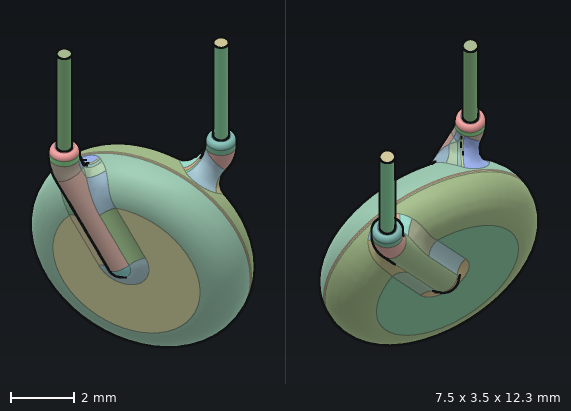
import cadquery as cq
import math

disc_diameter = 7.5
disc_thickness = 2.5
rim_round = 1.2

overall_height = 12.25
wire_diameter = 0.5
sleeve_diameter = 1.0
lead_x = 2.15
sleeve_top_z = 4.51
sleeve_top_round = 0.2
bend_start_z = 4.09
bend_radius = 1.22
bend_angle = 30
slanted_length = 3.68
blend_radius = 0.61
seam_tolerance = 0.002

disc_radius = disc_diameter / 2
sleeve_radius = sleeve_diameter / 2
face_y = disc_thickness / 2
wire_top_z = overall_height - disc_radius
bend = math.radians(bend_angle)


def make_disc():
    blank = cq.Workplane("XZ").circle(disc_radius).extrude(face_y, both=True)
    return blank.edges().fillet(rim_round)


def make_sleeve():
    """Front sleeve: upright collar, bend and slanted run centred on the disc face."""
    bend_centre_x = bend_radius - lead_x

    def on_bend(angle):
        x = bend_centre_x - bend_radius * math.cos(angle)
        return x, bend_start_z - bend_radius * math.sin(angle)

    bend_end = on_bend(bend)
    tip_x = bend_end[0] + slanted_length * math.sin(bend)
    tip_z = bend_end[1] - slanted_length * math.cos(bend)
    path = (
        cq.Workplane("XZ", origin=(0, -face_y, 0))
        .moveTo(-lead_x, sleeve_top_z)
        .lineTo(-lead_x, bend_start_z)
        .threePointArc(on_bend(bend / 2), bend_end)
        .lineTo(tip_x, tip_z)
    )
    tube = (
        cq.Workplane("XY", origin=(-lead_x, -face_y, sleeve_top_z))
        .circle(sleeve_radius)
        .sweep(path)
    )
    tip = cq.Workplane("XY").sphere(sleeve_radius).translate((tip_x, -face_y, tip_z))
    return tube.union(tip).faces(">Z").edges().fillet(sleeve_top_round)


def make_wire():
    return (
        cq.Workplane("XY", origin=(-lead_x, -face_y, bend_start_z))
        .circle(wire_diameter / 2)
        .extrude(wire_top_z - bend_start_z)
    )


def half_turn(shape):
    return shape.rotate((0, 0, 0), (0, 0, 1), 180)


def blend_sleeves(disc, sleeves):
    """Round the concave seams where the sleeves meet the disc."""
    joined = disc.union(sleeves)
    disc_skin = cq.Shell.makeShell(disc.faces().vals())
    sleeve_skin = cq.Compound.makeCompound(sleeves.faces().vals())

    def is_seam(edge):
        for fraction in (0.2, 0.5, 0.8):
            point = cq.Vertex.makeVertex(*edge.positionAt(fraction).toTuple())
            if max(point.distance(disc_skin), point.distance(sleeve_skin)) > seam_tolerance:
                return False
        return True

    seams = [edge for edge in joined.edges().vals() if is_seam(edge)]
    return joined.newObject(seams).fillet(blend_radius)


front_sleeve = make_sleeve()
front_wire = make_wire()
body = blend_sleeves(make_disc(), front_sleeve.add(half_turn(front_sleeve)).combine())
result = body.union(front_wire).union(half_turn(front_wire))